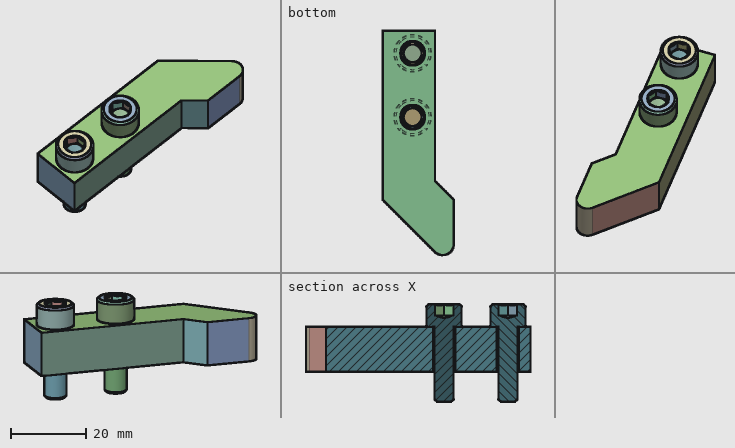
import cadquery as cq
import math

arm_width = 14.0
arm_height = 12.0
tip_offset = 5.0
outer_bend_y = 45.0
inner_bend_y = outer_bend_y - tip_offset
tip_radius = 3.0
overall_width = arm_width + tip_offset

screw_x = 8.0
first_screw_y = 6.0
screw_pitch = 17.0
screw_count = 2
screw_points = [(screw_x, first_screw_y + i * screw_pitch) for i in range(screw_count)]

thread_diameter = 6.0
clearance_diameter = 6.6
screw_length = 20.0
head_diameter = 10.0
head_height = thread_diameter
head_top_chamfer = 0.6
head_bottom_chamfer = 0.15
thread_root_diameter = 4.773
thread_end_chamfer = (thread_diameter - thread_root_diameter) / 2

hex_across_flats = 5.0
hex_across_corners = hex_across_flats / math.cos(math.pi / 6)
hex_depth = head_height / 2
socket_cone_slope = 30.0
socket_cone_depth = hex_across_flats / 2 * math.tan(math.radians(socket_cone_slope))
rim_radius = hex_across_corners / 2
rim_cone_depth = rim_radius


def make_arm():
    """Bar extruded along Z, with a 45 degree bend and screw clearance holes."""
    sharp_tip = (overall_width, outer_bend_y + overall_width)
    arm = (
        cq.Workplane("XY")
        .polyline(
            [
                (0, 0),
                (arm_width, 0),
                (arm_width, inner_bend_y),
                (overall_width, outer_bend_y),
                sharp_tip,
                (0, outer_bend_y),
            ]
        )
        .close()
        .extrude(arm_height)
    )
    arm = arm.edges("|Z").edges(">Y").fillet(tip_radius)
    top_plane = arm.faces(">Z").workplane(origin=(0, 0, arm_height))
    return top_plane.pushPoints(screw_points).hole(clearance_diameter)


def make_cone(top_radius, depth, top_z):
    """Downward-pointing cone whose wide end lies at top_z."""
    return (
        cq.Workplane("XZ")
        .polyline([(0, top_z), (top_radius, top_z), (0, top_z - depth)])
        .close()
        .revolve(360, (0, 0), (0, 1))
    )


def make_screw():
    """Cap screw on the Z axis, with the underside of its head at Z = 0."""
    head = cq.Workplane("XY").circle(head_diameter / 2).extrude(head_height)
    head = head.faces(">Z").chamfer(head_top_chamfer)
    head = head.faces("<Z").chamfer(head_bottom_chamfer)
    shank = cq.Workplane("XY").circle(thread_diameter / 2).extrude(-screw_length)
    shank = shank.faces("<Z").chamfer(thread_end_chamfer)
    hexagon = (
        cq.Workplane("XY")
        .workplane(offset=head_height)
        .polygon(6, hex_across_corners)
        .extrude(-hex_depth)
    )
    rim = make_cone(rim_radius, rim_cone_depth, head_height)
    bottom = make_cone(hex_across_flats / 2, socket_cone_depth, head_height - hex_depth)
    return head.union(shank).cut(hexagon).cut(bottom).cut(rim)


arm = make_arm()
screw = make_screw()
screws = [screw.translate((x, y, arm_height)) for x, y in screw_points]

result = cq.Compound.makeCompound([arm.val(), *[body.val() for body in screws]])